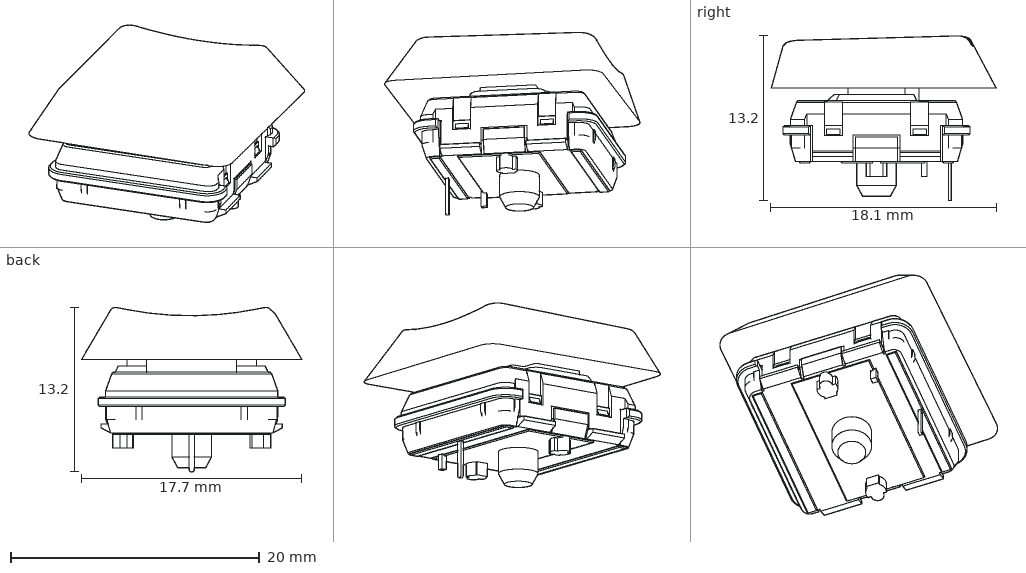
import cadquery as cq


taper_z = 1.09
rib_bottom_z = 1.45
flange_bottom_z = 2.12
split_z = 2.9
shoulder_z = 3.38
edge_z = 4.75
top_z = 4.9
collar_z = 5.4
cap_bottom_z = 5.9

body_half = 6.93
band_half = 6.84
bottom_half = 6.51
edge_half = 6.44
top_half = 6.31
body_corner = 0.78
end_corner = 0.69
flange_half = 7.53
flange_corner = 1.54
flange_chamfer = 0.13
rib_start = 3.98
rib_end = 4.49
side_rib_end = 5.79

skirt_face = 6.77
skirt_thickness = 0.9
skirt_inner = skirt_face - skirt_thickness
skirt_half = 5.14
skirt_bottom_z = 0.85
recess_half = 5.59
recess_outer_half = 5.79
slot_depth = 0.36
slot_width = 1.45
slot_y = 3.47
slot_bottom_z = 2.08
window_depth = 0.25
hook_depth = 0.04
hook_width = 1.05
hook_bottom_z = 2.19
hook_top_z = 2.6
notch_half = 1.9
notch_top_z = 2.12

bay_half = 5.3
bay_bevel = 0.16
gap_floor = 6.33
ledge_reach = 7.29
ledge_top_z = 0.75
ledge_under_z = 0.42
tab_half = 1.68
tab_gap_depth = 0.15
tab_top_z = 1.97
tab_face = 6.91

foot_height = 0.13
foot_chamfer = 0.09
foot_half_x = 6.25
middle_foot_front = -2.84
middle_foot_back = 3.9
edge_foot_inner = 5.32
edge_foot_outer = 6.2
post_diameter = 3.2
post_cone_z = -1.92
post_bottom_z = -2.8
post_tip_diameter = 2.25
peg_diameter = 1.68
peg_nose_width = 1.05
peg_shoulder = 0.25
peg_x = 5.52
peg_bottom_z = -1.21

long_pin_y = 5.9
long_pin_width = 0.43
long_pin_thickness = 0.24
long_pin_tip_radius = 0.2
long_pin_bottom_z = -3.13
short_pin_x = 5.0
short_pin_y = 3.84
short_pin_size = 0.45
pin_top_z = taper_z

stem_half_x = 5.21
stem_front = -2.3
stem_back = 2.28
stem_corner = 0.25
rear_half_x = 3.62
rear_back = 3.42
stem_bottom_z = 3.62

collar_base_x = 6.15
collar_base_y = 3.24
collar_top_x = 5.9
collar_top_y = 2.98
collar_corner = 0.81
bulge_half = 4.61
bulge_base_root = 5.17
bulge_top_root = 5.07
bulge_base_reach = 3.95
bulge_top_reach = 3.38

cap_width = 17.51
cap_length = 17.87
cap_y = 0.58
cap_turn = -0.85
cap_side_lean = 0.58
cap_front_lean = 0.27
cap_back_lean = 0.52
cap_corner = 1.4
cap_blank_height = 5.07
dish_radius = 26.23
dish_tilt = 1.8
dish_low_z = 9.23
cap_edge_fillet = 0.45


def box(x_min, x_max, y_min, y_max, z_min, z_max):
    """Box given by its limits."""
    return (
        cq.Workplane("XY")
        .box(x_max - x_min, y_max - y_min, z_max - z_min, centered=False)
        .translate((x_min, y_min, z_min))
    )


def slab(half, corner, z_min, z_max):
    """Square prism with rounded upright corners."""
    return box(-half, half, -half, half, z_min, z_max).edges("|Z").fillet(corner)


def tapered_slab(half_low, half_high, corner_low, corner_high, z_min, z_max):
    """Rounded square that changes size between two heights."""
    return (
        cq.Workplane("XY", origin=(0, 0, z_min))
        .placeSketch(
            cq.Sketch().rect(2 * half_low, 2 * half_low).vertices().fillet(corner_low),
            cq.Sketch().rect(2 * half_high, 2 * half_high).vertices().fillet(corner_high)
            .moved(cq.Location(cq.Vector(0, 0, z_max - z_min))),
        )
        .loft()
    )


def both_sides(shape):
    """The shape on the -X side together with its mirror image on the +X side."""
    return shape.union(shape.mirror("YZ"))


def flared_bay(half, half_outer, x_inner, x_outer, z_min, z_max):
    """Cutter for the -X side that widens outward in plan."""
    return (
        cq.Workplane("XY", origin=(0, 0, z_min))
        .polyline([
            (-x_inner, -half),
            (-x_outer, -half_outer),
            (-x_outer, half_outer),
            (-x_inner, half),
        ]).close()
        .extrude(z_max - z_min)
    )


def make_keycap():
    """Solid cap with leaning walls and a dished top that rises toward +Y."""
    half_w = cap_width / 2
    half_l = cap_length / 2
    run_side = cap_side_lean * cap_blank_height
    run_front = cap_front_lean * cap_blank_height
    run_back = cap_back_lean * cap_blank_height
    front_profile = (
        cq.Workplane("XZ")
        .polyline([
            (-half_w, 0),
            (half_w, 0),
            (half_w - run_side, cap_blank_height),
            (-half_w + run_side, cap_blank_height),
        ]).close()
        .extrude(half_l, both=True)
    )
    side_profile = (
        cq.Workplane("YZ")
        .polyline([
            (-half_l, 0),
            (half_l, 0),
            (half_l - run_back, cap_blank_height),
            (-half_l + run_front, cap_blank_height),
        ]).close()
        .extrude(half_w, both=True)
    )
    blank = front_profile.intersect(side_profile)
    blank = blank.edges("not (#Z or |X or |Y)").fillet(cap_corner)
    dish_z = dish_low_z - cap_bottom_z
    dish = (
        cq.Workplane("XZ")
        .center(0, dish_radius)
        .circle(dish_radius)
        .extrude(cap_length, both=True)
        .rotate((0, 0, 0), (1, 0, 0), dish_tilt)
        .translate((0, 0, dish_z))
    )
    cap = blank.cut(dish)
    rim_zone = cq.selectors.BoxSelector(
        (-half_w, -half_l, dish_z / 2), (half_w, half_l, 2 * cap_blank_height), boundingbox=True
    )
    cap = cap.edges(rim_zone).fillet(cap_edge_fillet)
    return cap.rotate((0, 0, 0), (0, 0, 1), cap_turn).translate((0, cap_y, cap_bottom_z))


def make_stem():
    main = box(-stem_half_x, stem_half_x, stem_front, stem_back, stem_bottom_z, cap_bottom_z)
    rear = box(-rear_half_x, rear_half_x, stem_front, rear_back, stem_bottom_z, cap_bottom_z)
    return main.union(rear).edges("|Z").fillet(stem_corner)


def make_collar():
    """Rounded rectangular collar with a narrower bulge on its front side, both leaning inward."""
    rim = (
        cq.Workplane("XY", origin=(0, 0, top_z))
        .placeSketch(
            cq.Sketch().rect(2 * collar_base_x, 2 * collar_base_y).vertices().fillet(collar_corner),
            cq.Sketch().rect(2 * collar_top_x, 2 * collar_top_y).vertices().fillet(collar_corner)
            .moved(cq.Location(cq.Vector(0, 0, collar_z - top_z))),
        )
        .loft()
    )
    bulge = (
        cq.Workplane("XY", origin=(0, 0, top_z))
        .polyline(bulge_outline(bulge_base_root, collar_base_y, bulge_base_reach)).close()
        .workplane(offset=collar_z - top_z)
        .polyline(bulge_outline(bulge_top_root, collar_top_y, bulge_top_reach)).close()
        .loft(ruled=True)
    )
    return rim.union(bulge)


def bulge_outline(root, start, reach):
    """Corners of the bulge in plan, from the middle of the collar out to its front edge."""
    return [
        (-root, 0),
        (-root, -start),
        (-bulge_half, -reach),
        (bulge_half, -reach),
        (root, -start),
        (root, 0),
    ]


def side_slots():
    """Upright slots over the clips, each with a window through the skirt below it."""
    slots = cq.Workplane("XY")
    for y in (-slot_y, slot_y):
        y_min = y - slot_width / 2
        y_max = y + slot_width / 2
        slots = slots.union(
            box(-body_half, -skirt_face + slot_depth, y_min, y_max, split_z, top_z)
        )
        slots = slots.union(box(-body_half, -skirt_inner, y_min, y_max, slot_bottom_z, split_z))
    return slots


def make_upper_housing(stem):
    upper = slab(body_half, body_corner, split_z, shoulder_z)
    upper = upper.union(tapered_slab(body_half, edge_half, body_corner, end_corner, shoulder_z, edge_z))
    upper = upper.union(tapered_slab(edge_half, top_half, end_corner, end_corner, edge_z, top_z))
    side_recess = flared_bay(recess_half, recess_outer_half, skirt_face, body_half, split_z, top_z)
    skirt = box(-skirt_face, -skirt_inner, -skirt_half, skirt_half, skirt_bottom_z, split_z)
    notch = box(-flange_half, -skirt_inner, -notch_half, notch_half, skirt_bottom_z, notch_top_z)
    skirt = skirt.cut(notch)
    upper = upper.cut(both_sides(side_recess)).union(both_sides(skirt))
    return upper.cut(both_sides(side_slots())).union(make_collar()).cut(stem)


def make_flange():
    return (
        slab(flange_half, flange_corner, flange_bottom_z, split_z)
        .faces("<Z or >Z").edges().chamfer(flange_chamfer)
    )


def make_ribs():
    """Small raised ribs just under the flange, whose undersides carry on the lower taper."""
    rib_half = band_half + (band_half - bottom_half) * (rib_bottom_z - taper_z) / taper_z
    wall = slab(rib_half, body_corner, rib_bottom_z, flange_bottom_z)
    wall = wall.union(tapered_slab(band_half, rib_half, body_corner, body_corner, taper_z, rib_bottom_z))
    ribs = cq.Workplane("XY")
    for side in (-1, 1):
        across_y = cq.Workplane("XY").box(rib_end - rib_start, 2 * flange_half, 2 * split_z)
        ribs = ribs.union(across_y.translate((side * (rib_start + rib_end) / 2, 0, 0)))
    ribs = ribs.union(cq.Workplane("XY").box(2 * flange_half, 2 * side_rib_end, 2 * split_z))
    return wall.intersect(ribs)


def make_ledges():
    """Ledges under a skirt, either side of the notch in it."""
    return (
        cq.Workplane("XZ")
        .polyline([
            (-skirt_inner, 0),
            (-bottom_half, 0),
            (-ledge_reach, ledge_under_z),
            (-ledge_reach, ledge_top_z),
            (-skirt_inner, ledge_top_z),
        ]).close()
        .extrude(skirt_half, both=True)
        .cut(box(-flange_half, -skirt_inner, -notch_half, notch_half, 0, ledge_top_z))
    )


def tab_layer(inset, half, layer_top_z):
    """Block in a notch whose face runs a given depth behind the face of the tab."""
    return (
        cq.Workplane("XZ")
        .polyline([
            (-skirt_inner, 0),
            (-bottom_half + inset, 0),
            (-tab_face + inset, taper_z),
            (-tab_face + inset, layer_top_z),
            (-skirt_inner, layer_top_z),
        ]).close()
        .extrude(half, both=True)
    )


def make_tab():
    """Tab in the notch of a skirt, on a backing that fills the notch behind the gap."""
    backing = tab_layer(tab_gap_depth, notch_half, notch_top_z)
    return backing.union(tab_layer(0, tab_half, tab_top_z))


def make_hooks():
    """Backings that fill the windows of a skirt, each with a wedge hook on its face."""
    backing_face = skirt_face - window_depth
    hooks = cq.Workplane("XY")
    for y in (-slot_y, slot_y):
        backing = box(
            -backing_face, -skirt_inner, y - slot_width / 2, y + slot_width / 2, slot_bottom_z, split_z
        )
        hook = (
            cq.Workplane("XZ", origin=(0, y, 0))
            .polyline([
                (-backing_face, hook_bottom_z),
                (-skirt_face + hook_depth, hook_bottom_z),
                (-backing_face, hook_top_z),
            ]).close()
            .extrude(hook_width / 2, both=True)
        )
        hooks = hooks.union(backing).union(hook)
    return hooks


def make_feet():
    spans = [
        (-edge_foot_outer, -edge_foot_inner),
        (middle_foot_front, middle_foot_back),
        (edge_foot_inner, edge_foot_outer),
    ]
    feet = cq.Workplane("XY")
    for front, back in spans:
        foot = box(-foot_half_x, foot_half_x, front, back, -foot_height, 0)
        feet = feet.union(foot.faces("<Z").edges("|X").chamfer(foot_chamfer))
    return feet


def make_post_and_pegs():
    post = (
        cq.Workplane("XZ")
        .polyline([
            (0, 0),
            (post_diameter / 2, 0),
            (post_diameter / 2, post_cone_z),
            (post_tip_diameter / 2, post_bottom_z),
            (0, post_bottom_z),
        ]).close()
        .revolve(360, (0, 0, 0), (0, 1, 0))
    )
    return post.union(both_sides(make_peg()))


def make_peg():
    """Peg on the -X side: a round nose outward, wider shoulders round the middle, a flat key inward."""
    radius = peg_diameter / 2
    nose_radius = peg_nose_width / 2
    shoulders = cq.Workplane("XY").circle(radius).extrude(peg_bottom_z)
    shoulders = shoulders.cut(box(-radius, -peg_shoulder, -radius, radius, peg_bottom_z, 0))
    nose = cq.Workplane("XY").center(nose_radius - radius, 0).circle(nose_radius).extrude(peg_bottom_z)
    key = box(-peg_shoulder, radius, -nose_radius, nose_radius, peg_bottom_z, 0)
    return shoulders.union(nose).union(key).translate((-peg_x, 0, 0))


def make_lower_housing(pins):
    lower = tapered_slab(bottom_half, band_half, end_corner, body_corner, 0, taper_z)
    lower = lower.union(slab(band_half, body_corner, taper_z, split_z))
    lower = lower.union(make_flange()).union(make_ribs())
    pocket = box(-flange_half, -skirt_inner, -skirt_half, skirt_half, 0, split_z)
    bay = box(-flange_half, -gap_floor, -bay_half, bay_half, 0, split_z)
    bevel_start = flange_half - bay_bevel
    bevel = flared_bay(bay_half, bay_half + bay_bevel, bevel_start, flange_half, 0, split_z)
    lower = lower.cut(both_sides(pocket.union(bay).union(bevel)))
    lower = lower.union(both_sides(make_ledges().union(make_tab()).union(make_hooks())))
    lower = lower.union(make_feet()).union(make_post_and_pegs())
    for pin in pins:
        lower = lower.cut(pin)
    return lower


def make_long_pin():
    pin = cq.Workplane("XY").box(
        long_pin_width, long_pin_thickness, pin_top_z - long_pin_bottom_z, centered=(True, True, False)
    )
    pin = pin.faces("<Z").edges("|Y").fillet(long_pin_tip_radius)
    return pin.translate((0, long_pin_y, long_pin_bottom_z))


def make_short_pin():
    pin = cq.Workplane("XY").box(
        short_pin_size, short_pin_size, pin_top_z - peg_bottom_z, centered=(True, True, False)
    )
    return pin.translate((short_pin_x, short_pin_y, peg_bottom_z))


keycap = make_keycap()
stem = make_stem()
upper_housing = make_upper_housing(stem)
long_pin = make_long_pin()
short_pin = make_short_pin()
lower_housing = make_lower_housing([long_pin, short_pin])

result = cq.Compound.makeCompound([
    keycap.val(),
    stem.val(),
    upper_housing.val(),
    lower_housing.val(),
    long_pin.val(),
    short_pin.val(),
])